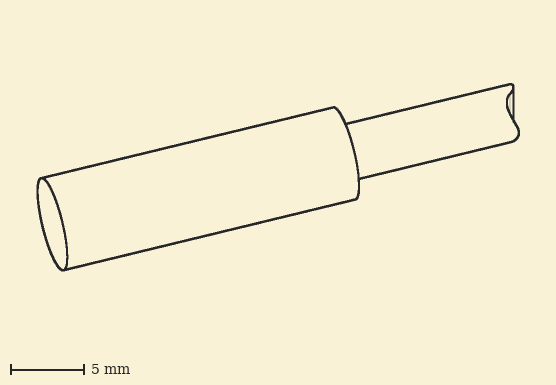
import cadquery as cq

total_length = 33.5
body_diameter = 6.5
body_length = 21.05
pin_diameter = 3.9
wave_height = 1.0

pin_radius = pin_diameter / 2
wave_mid_y = total_length - wave_height / 2
trough_y = total_length - wave_height


def cylinder_along_y(diameter, length):
    """Cylinder on the Y axis, running from the origin toward +Y."""
    return cq.Workplane("XZ").circle(diameter / 2).extrude(-length)


def wave_end_envelope():
    """Block under an S-shaped edge: a crest arc on the -X half, a trough arc on the +X half."""
    return (
        cq.Workplane("XY")
        .moveTo(-pin_radius, 0)
        .lineTo(-pin_radius, wave_mid_y)
        .threePointArc((-pin_radius / 2, total_length), (0, wave_mid_y))
        .threePointArc((pin_radius / 2, trough_y), (pin_radius, wave_mid_y))
        .lineTo(pin_radius, 0)
        .close()
        .extrude(pin_radius, both=True)
    )


body = cylinder_along_y(body_diameter, body_length)
pin = cylinder_along_y(pin_diameter, total_length).intersect(wave_end_envelope())
result = body.union(pin)